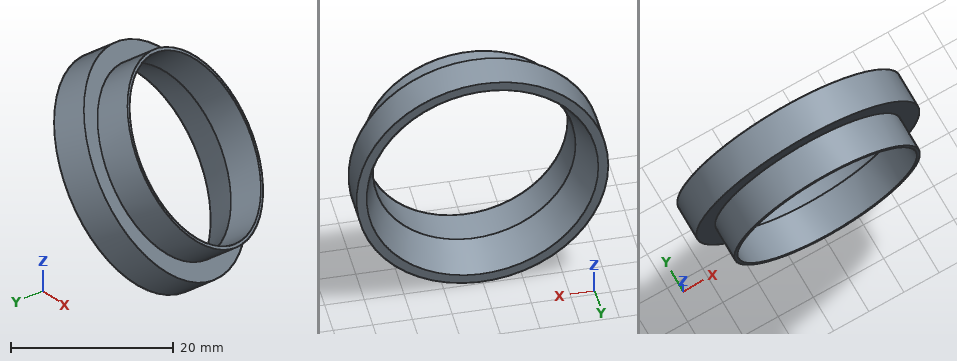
import cadquery as cq

flange_diameter = 31.75
overall_length = 9.525
spigot_diameter = 26.427
bore_diameter = 25.527
flare_mouth_diameter = 29.21

spigot_length = overall_length / 2

spigot_radius = spigot_diameter / 2
flange_radius = flange_diameter / 2
bore_radius = bore_diameter / 2
flare_mouth_radius = flare_mouth_diameter / 2

spigot_face_y = -overall_length / 2
flange_face_y = overall_length / 2
shoulder_y = spigot_face_y + spigot_length


def make_ring():
    """Flanged ring: straight bore through the spigot, flaring as a cone through the flange."""
    half_section = (
        cq.Workplane("XY")
        .moveTo(-bore_radius, spigot_face_y)
        .lineTo(-spigot_radius, spigot_face_y)
        .lineTo(-spigot_radius, shoulder_y)
        .lineTo(-flange_radius, shoulder_y)
        .lineTo(-flange_radius, flange_face_y)
        .lineTo(-flare_mouth_radius, flange_face_y)
        .lineTo(-bore_radius, shoulder_y)
        .close()
    )
    return half_section.revolve(360, (0, 0, 0), (0, 1, 0))


result = make_ring()